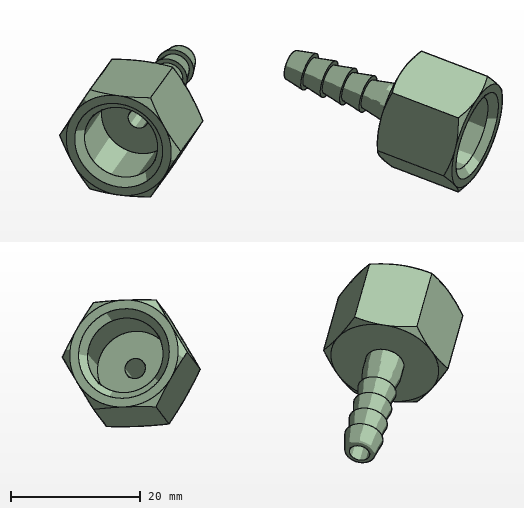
import cadquery as cq
import math

TOTAL_LENGTH = 32.5
NUT_LENGTH = 13.0
ACROSS_FLATS = 17.0
ACROSS_CORNERS = ACROSS_FLATS / math.cos(math.radians(30))
CORNER_BEVEL_ANGLE = 30.0

BARB_COUNT = 5
BARB_PITCH = 3.38
BARB_RADIUS = 3.02
ROOT_RADIUS = 2.35
TIP_ROUND = 0.42

SOCKET_RADIUS = 5.9
SOCKET_DEPTH = 10.0
SOCKET_CHAMFER = 1.2
BORE_RADIUS = 1.6


def revolve_about_y(profile):
    return profile.close().revolve(360, (0, 0, 0), (0, 1, 0))


def make_nut():
    """Hexagon with corners on +/-X, its corners bevelled at both ends."""
    hexagon = (
        cq.Workplane("XZ")
        .polygon(6, ACROSS_CORNERS)
        .extrude(-NUT_LENGTH)
    )
    flat_radius = ACROSS_FLATS / 2
    corner_radius = ACROSS_CORNERS / 2
    bevel_length = (corner_radius - flat_radius) * math.tan(math.radians(CORNER_BEVEL_ANGLE))
    bevel_envelope = revolve_about_y(
        cq.Workplane("XY")
        .lineTo(flat_radius, 0)
        .lineTo(corner_radius, bevel_length)
        .lineTo(corner_radius, NUT_LENGTH - bevel_length)
        .lineTo(flat_radius, NUT_LENGTH)
        .lineTo(0, NUT_LENGTH)
    )
    return hexagon.intersect(bevel_envelope)


def make_hose_tail():
    """Plain neck followed by conical barbs that narrow towards the rounded tip."""
    first_barb = TOTAL_LENGTH - BARB_COUNT * BARB_PITCH
    profile = cq.Workplane("XY").moveTo(0, NUT_LENGTH).lineTo(BARB_RADIUS, NUT_LENGTH)
    for index in range(BARB_COUNT):
        barb_start = first_barb + index * BARB_PITCH
        profile = profile.lineTo(BARB_RADIUS, barb_start)
        profile = profile.lineTo(ROOT_RADIUS, barb_start + BARB_PITCH)
    tail = revolve_about_y(profile.lineTo(0, TOTAL_LENGTH))
    return tail.faces(">Y").edges().fillet(TIP_ROUND)


def make_openings():
    """Chamfered socket in the nut and the bore through the hose tail."""
    return revolve_about_y(
        cq.Workplane("XY")
        .lineTo(SOCKET_RADIUS + SOCKET_CHAMFER, 0)
        .lineTo(SOCKET_RADIUS, SOCKET_CHAMFER)
        .lineTo(SOCKET_RADIUS, SOCKET_DEPTH)
        .lineTo(BORE_RADIUS, SOCKET_DEPTH)
        .lineTo(BORE_RADIUS, TOTAL_LENGTH)
        .lineTo(0, TOTAL_LENGTH)
    )


result = make_nut().union(make_hose_tail()).cut(make_openings())